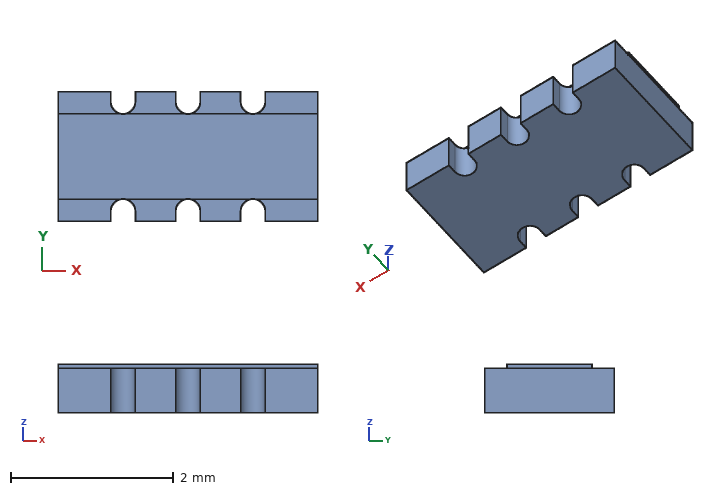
import cadquery as cq

LENGTH = 3.2
WIDTH = 1.6
HEIGHT = 0.6

COAT_THICKNESS = 0.05
COAT_WIDTH = 1.05

TERMINALS_PER_SIDE = 4
TERMINAL_PITCH = 0.8
NOTCH_WIDTH = 0.3

BASE_HEIGHT = HEIGHT - COAT_THICKNESS
NOTCH_DEPTH = (WIDTH - COAT_WIDTH) / 2


def make_notch(x, side):
    """Round-ended notch through the base; side is -1 or +1 for the -Y or +Y long side."""
    radius = NOTCH_WIDTH / 2
    edge_y = side * WIDTH / 2
    arc_start_y = side * (WIDTH / 2 - NOTCH_DEPTH + radius)
    deepest_y = side * (WIDTH / 2 - NOTCH_DEPTH)
    return (
        cq.Workplane("XY")
        .moveTo(x - radius, edge_y)
        .lineTo(x - radius, arc_start_y)
        .threePointArc((x, deepest_y), (x + radius, arc_start_y))
        .lineTo(x + radius, edge_y)
        .close()
        .extrude(BASE_HEIGHT)
    )


def make_base():
    """Ceramic block with its bottom on Z = 0 and a row of notches on each long side."""
    base = cq.Workplane("XY").box(LENGTH, WIDTH, BASE_HEIGHT, centered=(True, True, False))
    notch_count = TERMINALS_PER_SIDE - 1
    first_x = -TERMINAL_PITCH * (notch_count - 1) / 2
    for index in range(notch_count):
        for side in (-1, 1):
            base = base.cut(make_notch(first_x + index * TERMINAL_PITCH, side))
    return base


def make_coat():
    """Thin full-length strip lying on the base, between the two rows of notches."""
    return (
        cq.Workplane("XY")
        .workplane(offset=BASE_HEIGHT)
        .box(LENGTH, COAT_WIDTH, COAT_THICKNESS, centered=(True, True, False))
    )


base = make_base()
coat = make_coat()

result = cq.Compound.makeCompound([base.val(), coat.val()])